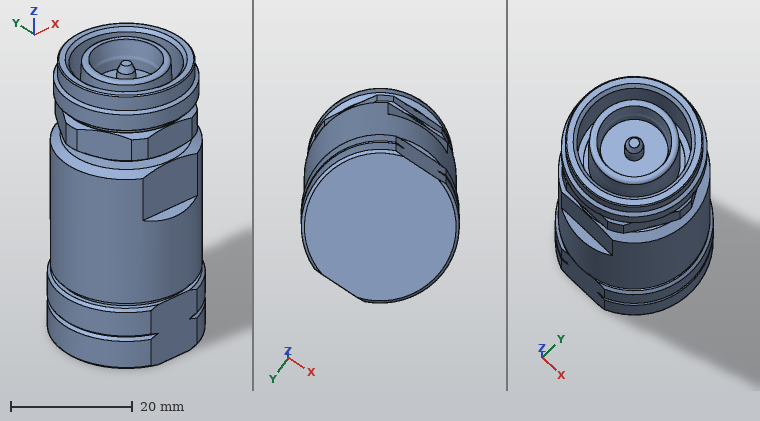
import cadquery as cq
import math

OVERALL_HEIGHT = 52.3
CLAMP_DIA = 26.0
CLAMP_FLAT_WIDTH = 24.0
BODY_DIA = 25.0
WRENCH_WIDTH = 22.0
NUT_DIA = 24.0
RIM_DIA = 22.65
LOWER_NECK_DIA = 23.3
UPPER_NECK_DIA = 16.85
NUT_GROOVE_DIA = 21.55

CLAMP_TOP = 11.7
CLAMP_GROOVE_Z = 6.1
BODY_BOTTOM = 12.65
BODY_TOP = 37.7
BODY_FLAT_BOTTOM = 28.6
HEX_BOTTOM = 39.45
HEX_TOP = 44.8
RING_BOTTOM = 45.35
RING_CHAMFER_TOP = 46.0
RING_TOP = 49.4

BEVEL_ANGLE = 30.0
BEVEL_END_DIA = 21.75
CLAMP_CHAMFER = 0.5
RIM_CHAMFER = 0.2

CAVITY_DIA = 18.85
CAVITY_CHAMFER = 0.65
CAVITY_FLOOR = 41.85
RECESS_DIA = 16.75
RECESS_FLOOR = 41.3

SLEEVE_DIA = 15.1
SLEEVE_SHOULDER_DIA = 14.75
SLEEVE_SHOULDER_Z = 51.9
SLEEVE_TAPER_BOTTOM = 47.6
SLEEVE_TIP_DIA = 13.5
SLEEVE_MOUTH_DIA = 12.3
SLEEVE_MOUTH_BOTTOM = 51.95
SLEEVE_TAPER_END_DIA = 11.5
SLEEVE_TAPER_END_Z = 49.3
SLEEVE_BORE_DIA = 11.2
SLEEVE_BORE_TOP = 48.8
INSULATOR_TOP = 46.9

PIN_DIA = 3.2
PIN_SHOULDER_Z = 49.25
PIN_NOSE_DIA = 2.95
PIN_NOSE_Z = 50.25
PIN_TIP_DIA = 1.7
PIN_TIP_Z = 51.5

CUTTER_SIZE = 2 * CLAMP_DIA


def bevel_drop(outer_dia):
    """Height lost by a wrench bevel between its end face and outer_dia."""
    return (outer_dia - BEVEL_END_DIA) / 2 * math.tan(math.radians(BEVEL_ANGLE))


def revolve(points):
    """Solid of revolution about Z from (diameter, height) points, closed along the axis."""
    outline = [(0, points[0][1])]
    outline += [(dia / 2, z) for dia, z in points]
    outline.append((0, points[-1][1]))
    return cq.Workplane("XZ").polyline(outline).close().revolve(360, (0, 0), (0, 1))


def cylinder(dia, bottom, top):
    return cq.Workplane("XY").workplane(offset=bottom).circle(dia / 2).extrude(top - bottom)


def slab(width, bottom, top):
    """Wide block bounded by two flats facing -Y and +Y."""
    return cq.Workplane("XY").workplane(offset=bottom).rect(CUTTER_SIZE, width).extrude(top - bottom)


def make_clamp():
    """Rear clamp nut: V-grooved cylinder with a front and a back flat."""
    waist = CLAMP_DIA - 2 * CLAMP_CHAMFER
    turned = revolve([
        (waist, 0),
        (CLAMP_DIA, CLAMP_CHAMFER),
        (CLAMP_DIA, CLAMP_GROOVE_Z - CLAMP_CHAMFER),
        (waist, CLAMP_GROOVE_Z),
        (CLAMP_DIA, CLAMP_GROOVE_Z + CLAMP_CHAMFER),
        (CLAMP_DIA, CLAMP_TOP - CLAMP_CHAMFER),
        (waist, CLAMP_TOP),
    ])
    return turned.intersect(slab(CLAMP_FLAT_WIDTH, 0, CLAMP_TOP))


def make_body():
    """Main barrel with two wrench flats whose lower ends run out on a slope."""
    drop = bevel_drop(BODY_DIA)
    turned = revolve([
        (BODY_DIA, BODY_BOTTOM),
        (BODY_DIA, BODY_TOP - drop),
        (BEVEL_END_DIA, BODY_TOP),
    ])
    runout = (CUTTER_SIZE - WRENCH_WIDTH) / 2 * math.tan(math.radians(BEVEL_ANGLE))
    half_width = WRENCH_WIDTH / 2
    half_size = CUTTER_SIZE / 2
    flat_profile = [
        (half_width, BODY_FLAT_BOTTOM),
        (half_width, BODY_TOP),
        (half_size, BODY_TOP),
        (half_size, BODY_FLAT_BOTTOM - runout),
    ]
    flat_cut = cq.Workplane("YZ").polyline(flat_profile).close().extrude(half_size, both=True)
    return turned.cut(flat_cut).cut(flat_cut.mirror("XZ"))


def make_hexagon():
    """Hexagon of the coupling nut, bevelled at both ends."""
    drop = bevel_drop(NUT_DIA)
    turned = revolve([
        (BEVEL_END_DIA, HEX_BOTTOM),
        (NUT_DIA, HEX_BOTTOM + drop),
        (NUT_DIA, HEX_TOP - drop),
        (BEVEL_END_DIA, HEX_TOP),
    ])
    flats = slab(WRENCH_WIDTH, HEX_BOTTOM, HEX_TOP)
    for angle in (0, 60, 120):
        turned = turned.intersect(flats.rotate((0, 0, 0), (0, 0, 1), angle))
    return turned


def make_ring():
    """Grip ring and rim of the coupling nut above its groove."""
    ring_shoulder = RING_TOP - (NUT_DIA - RIM_DIA) / 2 * math.tan(math.radians(BEVEL_ANGLE))
    return revolve([
        (NUT_GROOVE_DIA, HEX_TOP),
        (NUT_GROOVE_DIA, RING_BOTTOM),
        (WRENCH_WIDTH, RING_BOTTOM),
        (NUT_DIA, RING_CHAMFER_TOP),
        (NUT_DIA, ring_shoulder),
        (RIM_DIA, RING_TOP),
        (RIM_DIA, OVERALL_HEIGHT - RIM_CHAMFER),
        (RIM_DIA - 2 * RIM_CHAMFER, OVERALL_HEIGHT),
    ])


def make_cavity():
    """Open space inside the coupling nut, with a stepped floor and a chamfered mouth."""
    return revolve([
        (RECESS_DIA, RECESS_FLOOR),
        (RECESS_DIA, CAVITY_FLOOR),
        (CAVITY_DIA, CAVITY_FLOOR),
        (CAVITY_DIA, OVERALL_HEIGHT - CAVITY_CHAMFER),
        (CAVITY_DIA + 2 * CAVITY_CHAMFER, OVERALL_HEIGHT),
    ])


def make_sleeve():
    """Outer contact sleeve with a rounded tip, closed inside by the insulator face."""
    outside = (
        cq.Workplane("XZ")
        .moveTo(0, OVERALL_HEIGHT)
        .lineTo(SLEEVE_TIP_DIA / 2, OVERALL_HEIGHT)
        .tangentArcPoint((SLEEVE_SHOULDER_DIA / 2, SLEEVE_SHOULDER_Z), relative=False)
        .lineTo(SLEEVE_DIA / 2, SLEEVE_TAPER_BOTTOM)
        .lineTo(SLEEVE_DIA / 2, RECESS_FLOOR)
        .lineTo(0, RECESS_FLOOR)
        .close()
        .revolve(360, (0, 0), (0, 1))
    )
    bore = revolve([
        (SLEEVE_BORE_DIA, INSULATOR_TOP),
        (SLEEVE_BORE_DIA, SLEEVE_BORE_TOP),
        (SLEEVE_TAPER_END_DIA, SLEEVE_TAPER_END_Z),
        (SLEEVE_MOUTH_DIA, SLEEVE_MOUTH_BOTTOM),
        (SLEEVE_MOUTH_DIA, OVERALL_HEIGHT),
    ])
    return outside.cut(bore)


def make_pin():
    """Centre contact with a tapered nose."""
    return revolve([
        (PIN_DIA, INSULATOR_TOP),
        (PIN_DIA, PIN_SHOULDER_Z),
        (PIN_NOSE_DIA, PIN_NOSE_Z),
        (PIN_TIP_DIA, PIN_TIP_Z),
    ])


result = (
    make_clamp()
    .union(cylinder(LOWER_NECK_DIA, CLAMP_TOP, BODY_BOTTOM))
    .union(make_body())
    .union(cylinder(UPPER_NECK_DIA, BODY_TOP, HEX_BOTTOM))
    .union(make_hexagon())
    .union(make_ring())
    .cut(make_cavity())
    .union(make_sleeve())
    .union(make_pin())
)